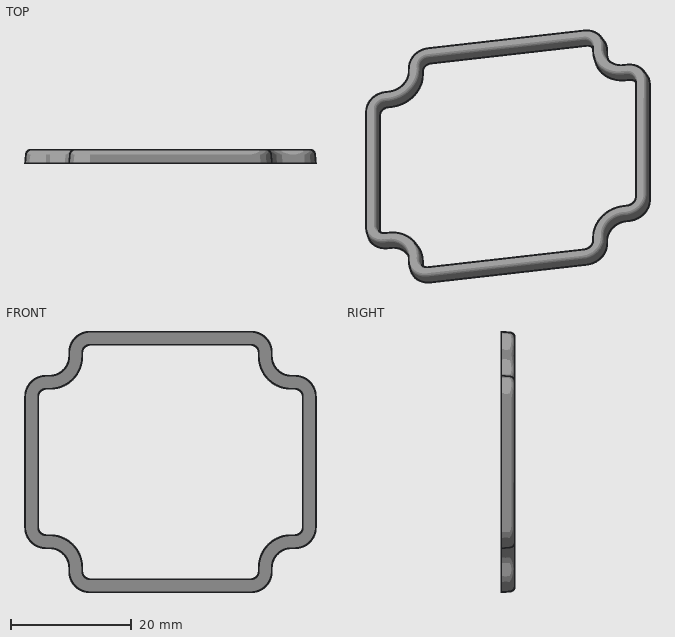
import cadquery as cq
import math

width = 48.2
height = 43.2
thickness = 2.3
band = 2.2

corner_step = 7.3
convex_radius = 3.5
concave_radius = 3.2

draft_angle = 5.0
back_fillet = 0.9

front_y = -thickness / 2

side_arc_center = (width / 2 - convex_radius, height / 2 - corner_step - convex_radius)
step_arc_center = (width / 2 - corner_step + concave_radius, height / 2 - corner_step + concave_radius)
end_arc_center = (width / 2 - corner_step - convex_radius, height / 2 - convex_radius)


def arc_points(center, radius, angles):
    """Points on a circle at the given angles, in degrees from +X towards +Z."""
    return [
        (
            center[0] + radius * math.cos(math.radians(angle)),
            center[1] + radius * math.sin(math.radians(angle)),
        )
        for angle in angles
    ]


def stepped_outline(inset):
    """Closed outline on the flat face, offset inwards from the ring's outer edge by inset."""
    convex = convex_radius - inset
    concave = concave_radius + inset

    corner_arcs = [
        arc_points(side_arc_center, convex, (0, 45, 90)),
        arc_points(step_arc_center, concave, (270, 225, 180)),
        arc_points(end_arc_center, convex, (0, 45, 90)),
    ]

    start_x, start_z = corner_arcs[-1][-1]
    outline = cq.Workplane("XZ", origin=(0, front_y, 0)).moveTo(-start_x, start_z)
    for x_side, z_side in ((1, 1), (1, -1), (-1, -1), (-1, 1)):
        direction = -1 if x_side == z_side else 1
        for arc in corner_arcs[::direction]:
            arc_start, arc_middle, arc_end = [(x_side * x, z_side * z) for x, z in arc[::direction]]
            outline = outline.lineTo(*arc_start).threePointArc(arc_middle, arc_end)
    return outline.close()


def make_ring():
    """Stepped ring with drafted walls and a rounded back."""
    body = stepped_outline(0).extrude(-thickness, taper=draft_angle)
    opening = stepped_outline(band).extrude(-thickness, taper=-draft_angle)
    return body.cut(opening).faces(">Y").edges().fillet(back_fillet)


result = make_ring()